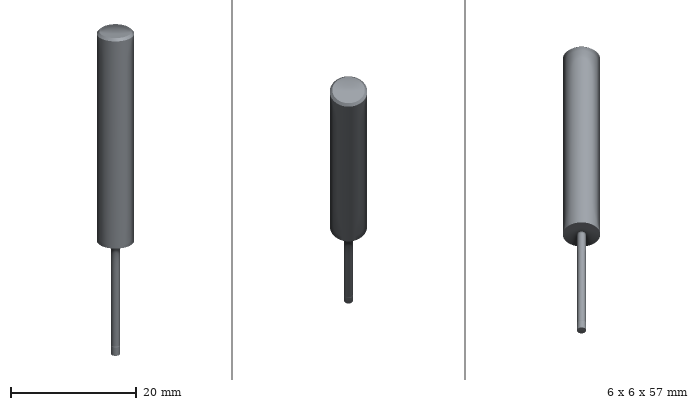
import cadquery as cq

total_length = 57.0
shank_diameter = 6.0
shank_chamfer = 0.4
neck_length = 20.0
neck_diameter = 1.4
tip_diameter = 1.5
tip_length = 1.5
tip_taper_length = 0.1

shank_radius = shank_diameter / 2
neck_radius = neck_diameter / 2
tip_radius = tip_diameter / 2

tip = cq.Workplane("XY").circle(tip_radius).extrude(tip_length)

taper = cq.Workplane("XY").add(
    cq.Solid.makeCone(tip_radius, neck_radius, tip_taper_length, cq.Vector(0, 0, tip_length))
)

neck_start = tip_length + tip_taper_length
neck = (
    cq.Workplane("XY")
    .workplane(offset=neck_start)
    .circle(neck_radius)
    .extrude(neck_length - neck_start)
)

shank = (
    cq.Workplane("XY")
    .workplane(offset=neck_length)
    .circle(shank_radius)
    .extrude(total_length - neck_length)
    .faces(">Z")
    .edges()
    .chamfer(shank_chamfer)
)

result = shank.union(neck).union(taper).union(tip)